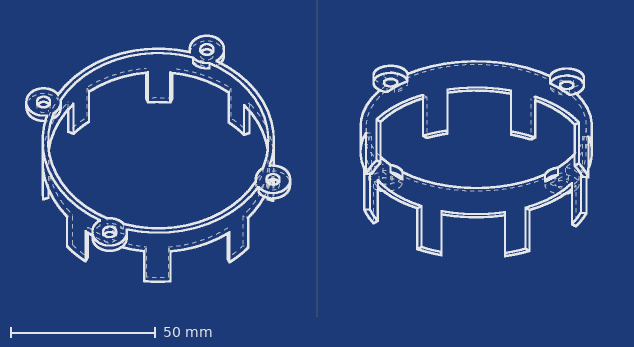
import cadquery as cq

overall_width = 98.0
overall_height = 28.0

ring_outer_radius = 40.0
ring_wall = 2.0
ring_height = 11.0
ring_inner_radius = ring_outer_radius - ring_wall

ear_count = 4
ear_radius = 6.0
ear_thickness = 3.0
ear_hole_diameter = 4.6
ear_center_radius = overall_width / 2 - ear_radius

slot_count = 4
slot_width = 22.0
leg_height = overall_height - ring_height


def make_wall():
    """Full-height tube that holds both the ring and the legs."""
    return (
        cq.Workplane("XY")
        .circle(ring_outer_radius)
        .circle(ring_inner_radius)
        .extrude(overall_height)
    )


def cut_slots(body):
    """Cut parallel-sided slots up to the ring, leaving two legs per slot."""
    slot = cq.Workplane("XY").box(
        overall_width, slot_width, leg_height, centered=(True, True, False)
    )
    for index in range(slot_count):
        angle = index * 180 / slot_count
        body = body.cut(slot.rotate((0, 0, 0), (0, 0, 1), angle))
    return body


def on_ear_centers(height):
    """Workplane at the given height with a point at each ear center."""
    return (
        cq.Workplane("XY", origin=(0, 0, height))
        .polarArray(ear_center_radius, 0, 360, ear_count)
    )


def add_ears(body):
    """Add the round ears and drill their screw holes."""
    ear_bottom = overall_height - ear_thickness
    ears = on_ear_centers(ear_bottom).circle(ear_radius).extrude(ear_thickness)
    holes = on_ear_centers(ear_bottom).circle(ear_hole_diameter / 2).extrude(ear_thickness)
    return body.union(ears).cut(holes)


result = add_ears(cut_slots(make_wall()))